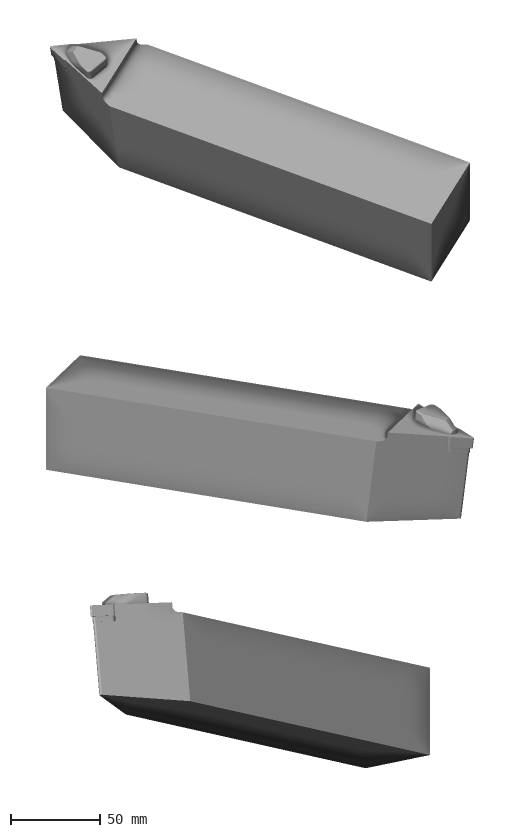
import cadquery as cq
import math

LENGTH = 249.0
WIDTH = 50.0
SHANK_HEIGHT = 50.0

TILT = 7.0
HALF_NOSE_ANGLE = 27.5
SIDE_SLOPE = math.tan(math.radians(HALF_NOSE_ANGLE))

INSERT_EDGE = 15.5
INSERT_THICKNESS = 6.2
INSERT_NOSE_RADIUS = 0.7
INSERT_HALF_WIDTH = 6.5

SHIM_THICKNESS = 3.2
SHIM_NOSE_RADIUS = 1.2
SHIM_CORNER_DIAMETER = 6.2
SHIM_CENTER_OFFSET = 0.7

HEAD_APEX_X = 0.0
HEAD_NOSE_RADIUS = 1.2
SHIM_PROUD = 0.12
RELIEF_END_X = 46.3
RELIEF_DIAMETER = 6.2
RELIEF_RADIUS = RELIEF_DIAMETER / 2

CLAMP_HEIGHT = 6.2
CLAMP_INSET = 1.2
CLAMP_FRONT_X = 10.7
CLAMP_FRONT_Y = 1.0
CLAMP_LEFT_Y = 3.2
CLAMP_LEFT_START_X = 13.0
CLAMP_LEFT_END_X = 24.7
CLAMP_ARC_MIDDLE = (31.1, 1.62)
CLAMP_BACK_LEFT = (37.4, -1.5)
CLAMP_BACK_RIGHT_X = 32.6
CLAMP_FLANK_START_Y = -2.0
CLAMP_CORNER_RADIUS = 2.2
CLAMP_TOP_ROUND = 1.0
CLAMP_BLEND_RADIUS = 6.7
CLAMP_FLANK_BREAK = (22.0, -10.2, CLAMP_HEIGHT / 2)
CLAMP_NOSE_LIP = 1.2
CLAMP_NOSE_SLOPE = 36.0
CLAMP_LIP_DRAFT = 25.0
CLAMP_FLANK_ANGLE = 42.5
CLAMP_FLANK_DRAFT = 25.0
CLAMP_LEFT_DRAFT = 22.0

CUTTER_SIZE = 99.6
WEDGE_LENGTH = 1.2 * LENGTH


def tilted(body):
    """Move a body from the tilted frame to its place on the tool."""
    return body.rotate((0, 0, 0), (0, 1, 0), -TILT).translate((0, 0, SHANK_HEIGHT))


def rhombus(center_x, half_length, top_z, thickness):
    """Rhombic plate with its acute corners on the X axis, hanging below top_z."""
    half_width = half_length * SIDE_SLOPE
    return (
        cq.Workplane("XY", origin=(center_x, 0, top_z))
        .polyline([(-half_length, 0), (0, -half_width), (half_length, 0), (0, half_width)])
        .close()
        .extrude(-thickness)
    )


def nose_setback(radius):
    """Distance from a sharp acute corner to the tip of its rounding."""
    return radius * (1 / math.sin(math.radians(HALF_NOSE_ANGLE)) - 1)


INSERT_HALF_LENGTH = INSERT_EDGE * math.cos(math.radians(HALF_NOSE_ANGLE))
INSERT_CENTER_X = INSERT_HALF_LENGTH - nose_setback(INSERT_NOSE_RADIUS)


def make_insert(thickness):
    """Insert-shaped plate below the top plane; a thicker one serves as the seat cutter."""
    plate = rhombus(INSERT_CENTER_X, INSERT_HALF_LENGTH, 0, thickness)
    plate = plate.edges("|Z and (<X or >X)").fillet(INSERT_NOSE_RADIUS)
    side_trim = cq.Workplane("XY").box(CUTTER_SIZE, 2 * INSERT_HALF_WIDTH, CUTTER_SIZE)
    return plate.intersect(side_trim)


def make_shim():
    """Smaller rhombic plate that lies under the insert in its seat."""
    center_x = INSERT_CENTER_X - SHIM_CENTER_OFFSET
    half_length = center_x - HEAD_APEX_X
    plate = rhombus(center_x, half_length, -INSERT_THICKNESS, SHIM_THICKNESS)
    plate = plate.edges("|Z and (<X or >X)").fillet(SHIM_NOSE_RADIUS)
    return plate.edges("|Z and (<Y or >Y)").fillet(SHIM_CORNER_DIAMETER / 2)


def make_head_wedge():
    """Plan wedge of the head, long enough to pass through the whole shank."""
    apex_x = HEAD_APEX_X + SHIM_PROUD / math.sin(math.radians(HALF_NOSE_ANGLE))
    half_width = WEDGE_LENGTH * SIDE_SLOPE
    return (
        cq.Workplane("XY")
        .moveTo(apex_x, 0)
        .lineTo(apex_x + WEDGE_LENGTH, -half_width)
        .lineTo(apex_x + WEDGE_LENGTH, half_width)
        .close()
        .extrude(CUTTER_SIZE, both=True)
        .edges("|Z and <X")
        .fillet(HEAD_NOSE_RADIUS)
    )


def make_side_profile():
    """Side outline of shank and head, with the relief behind the raised head."""
    tilt = math.radians(TILT)
    center_z = SHANK_HEIGHT + RELIEF_RADIUS

    def relief_point(angle):
        return (RELIEF_END_X + RELIEF_RADIUS * math.cos(angle), center_z + RELIEF_RADIUS * math.sin(angle))

    wall_foot = relief_point(math.pi + tilt)
    arc_middle = relief_point(math.pi + (math.pi / 2 + tilt) / 2)
    wall_distance = wall_foot[0] * math.cos(tilt) + (wall_foot[1] - SHANK_HEIGHT) * math.sin(tilt)
    wall_top = (wall_distance * math.cos(tilt), SHANK_HEIGHT + wall_distance * math.sin(tilt))
    return (
        cq.Workplane("XZ")
        .moveTo(0, 0)
        .lineTo(LENGTH, 0)
        .lineTo(LENGTH, SHANK_HEIGHT)
        .lineTo(RELIEF_END_X, SHANK_HEIGHT)
        .threePointArc(arc_middle, wall_foot)
        .lineTo(*wall_top)
        .lineTo(0, SHANK_HEIGHT)
        .close()
        .extrude(WIDTH / 2, both=True)
    )


def sloped_cutter(point, direction, elevation):
    """Block that removes all beyond a plane facing a plan direction and tipped up, in degrees."""
    heading = math.radians(direction)
    rise = math.radians(elevation)
    normal = (
        math.cos(heading) * math.cos(rise),
        math.sin(heading) * math.cos(rise),
        math.sin(rise),
    )
    plane = cq.Plane(origin=point, normal=normal)
    return cq.Workplane(plane).box(CUTTER_SIZE, CUTTER_SIZE, CUTTER_SIZE, centered=(True, True, False))


def make_clamp():
    """Clamp on the top plane: drafted flanks, sloped nose and rounded top edge."""

    def right_wall_y(x):
        return -SIDE_SLOPE * (x - HEAD_APEX_X) + CLAMP_INSET

    body = (
        cq.Workplane("XY")
        .moveTo(CLAMP_FRONT_X, right_wall_y(CLAMP_FRONT_X))
        .lineTo(CLAMP_FRONT_X, CLAMP_FRONT_Y)
        .lineTo(CLAMP_LEFT_START_X, CLAMP_LEFT_Y)
        .lineTo(CLAMP_LEFT_END_X, CLAMP_LEFT_Y)
        .threePointArc(CLAMP_ARC_MIDDLE, CLAMP_BACK_LEFT)
        .lineTo(CLAMP_BACK_RIGHT_X, right_wall_y(CLAMP_BACK_RIGHT_X))
        .close()
        .extrude(CLAMP_HEIGHT)
        .edges("|Z and (>X or <Y)")
        .fillet(CLAMP_CORNER_RADIUS)
    )
    flank_start = (CLAMP_FRONT_X, CLAMP_FLANK_START_Y, 0)
    body = body.cut(sloped_cutter(flank_start, 270 - CLAMP_FLANK_ANGLE, CLAMP_FLANK_DRAFT))
    body = body.cut(sloped_cutter((CLAMP_FRONT_X, CLAMP_LEFT_Y, 0), 90, CLAMP_LEFT_DRAFT))
    body = body.cut(sloped_cutter((CLAMP_FRONT_X, 0, CLAMP_NOSE_LIP), 180, 90 - CLAMP_NOSE_SLOPE))
    body = body.cut(sloped_cutter((CLAMP_FRONT_X, 0, 0), 180, CLAMP_LIP_DRAFT))
    flank_break = cq.selectors.NearestToPointSelector(CLAMP_FLANK_BREAK)
    body = body.edges(flank_break).fillet(CLAMP_BLEND_RADIUS)
    return body.faces(">Z").edges(">X").fillet(CLAMP_TOP_ROUND)


insert = tilted(make_insert(INSERT_THICKNESS))

holder = make_side_profile().intersect(tilted(make_head_wedge()))
holder = holder.cut(tilted(make_insert(INSERT_THICKNESS + SHIM_THICKNESS)))
holder = holder.union(tilted(make_shim()))
holder = holder.union(tilted(make_clamp()))

result = cq.Compound.makeCompound([holder.val(), insert.val()])